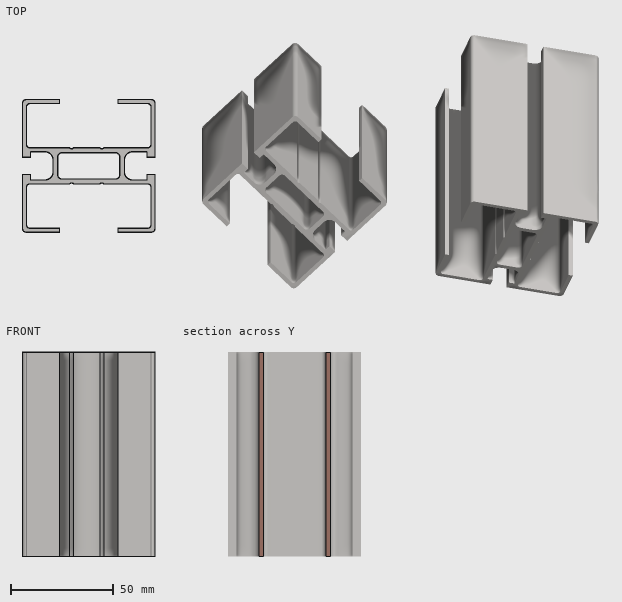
import cadquery as cq

side = 65.0
length = 100.0
wall = 2.1
outer_radius = 2.0
inner_radius = 1.5

channel_mouth = 28.4
web_outer_height = 17.8

slot_mouth = 8.2
slot_height = 13.7
slot_lip = 4.1
slot_floor_x = 17.5
slot_radius = 3.9

cavity_width = 30.2
cavity_height = 12.8
cavity_radius = 2.0

groove_positions = (-8.4, 6.4)
groove_width = 2.0
groove_depth = 0.5

half_side = side / 2


def bar(width, height, x=0, y=0):
    """Full-length rectangular prism centred at (x, y)."""
    return cq.Workplane("XY").center(x, y).rect(width, height).extrude(length)


def large_channel(direction):
    """Void of a channel facing +Y or -Y, with its mouth and floor grooves."""
    floor = web_outer_height / 2
    ceiling = half_side - wall
    void = bar(side - 2 * wall, ceiling - floor, 0, direction * (floor + ceiling) / 2)
    void = void.edges("|Z").fillet(inner_radius)
    mouth_height = half_side - floor
    void = void.union(bar(channel_mouth, mouth_height, 0, direction * (floor + mouth_height / 2)))
    for x in groove_positions:
        groove = (
            cq.Workplane("XY")
            .moveTo(x - groove_width / 2, direction * floor)
            .threePointArc(
                (x, direction * (floor - groove_depth)),
                (x + groove_width / 2, direction * floor),
            )
            .close()
            .extrude(length)
        )
        void = void.union(groove)
    return void


def side_slot(direction):
    """Void of a slot facing +X or -X, with a rounded floor and narrow mouth."""
    lip_x = half_side - slot_lip
    void = bar(lip_x - slot_floor_x, slot_height, direction * (lip_x + slot_floor_x) / 2)
    floor_edges = "|Z and <X" if direction > 0 else "|Z and >X"
    void = void.edges(floor_edges).fillet(slot_radius)
    mouth_x = half_side - slot_lip / 2
    return void.union(bar(slot_lip, slot_mouth, direction * mouth_x))


profile = bar(side, side).edges("|Z").fillet(outer_radius)
for direction in (-1, 1):
    profile = profile.cut(large_channel(direction))
    profile = profile.cut(side_slot(direction))

cavity = bar(cavity_width, cavity_height).edges("|Z").fillet(cavity_radius)
result = profile.cut(cavity)